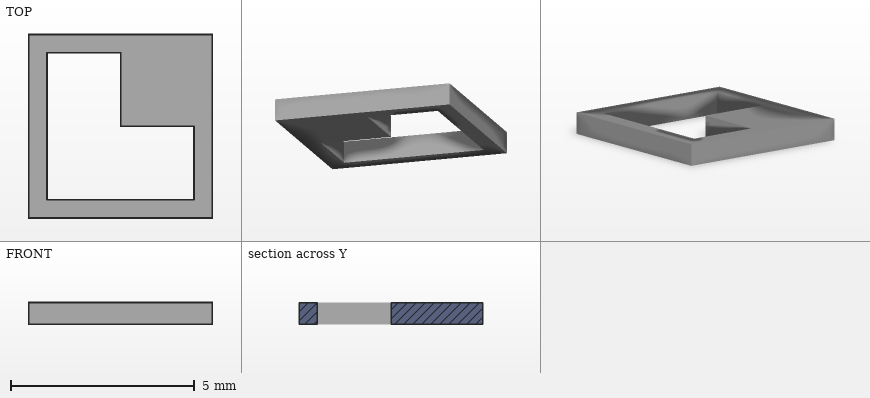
import cadquery as cq

side = 5.0
thickness = 0.6
rim = 0.5

inner_half = side / 2 - rim


def square_plate():
    """Solid square plate centred on the Z axis, resting on Z = 0."""
    return cq.Workplane("XY").rect(side, side).extrude(thickness)


def corner_opening():
    """L-shaped through opening that leaves the +X +Y quadrant solid."""
    outline = [
        (-inner_half, -inner_half),
        (inner_half, -inner_half),
        (inner_half, 0),
        (0, 0),
        (0, inner_half),
        (-inner_half, inner_half),
    ]
    return cq.Workplane("XY").polyline(outline).close().extrude(thickness)


result = square_plate().cut(corner_opening())